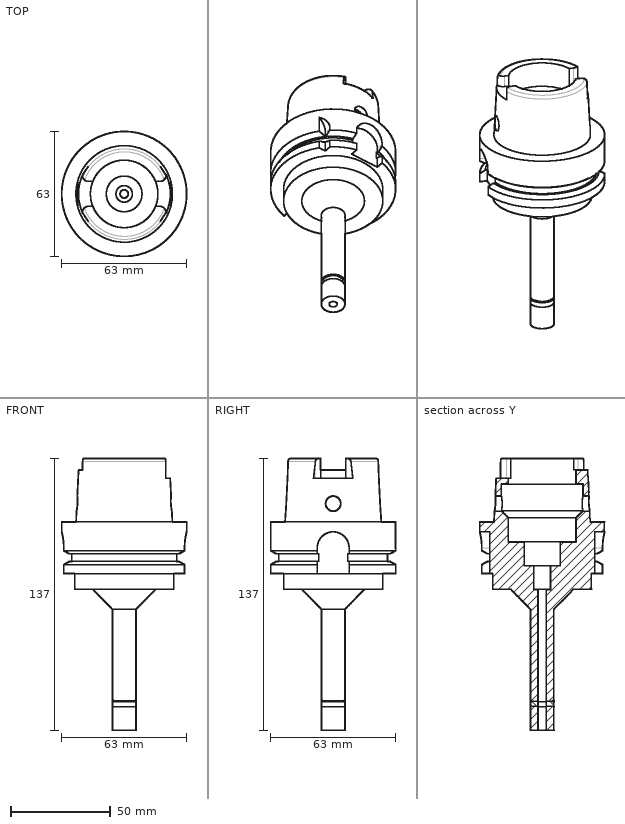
import cadquery as cq
import math


shank_length = 32.0
taper_gauge_radius = 24.005
taper_gauge_height = 6.3
taper_slope = 1 / 20
shank_edge_fillet = 1.5
cross_hole_diameter = 7.5
cross_hole_height = 9.2

mouth_radius = 17.0
undercut_radius = 20.5
undercut_top = 19.0
undercut_bottom = 5.6
undercut_runout = undercut_radius - mouth_radius
bore_floor = -10.0
tube_seat_radius = 9.0
tube_seat_floor = -22.0
feed_radius = 4.15
feed_floor = -34.0
coolant_radius = 2.0

mouth_slot_half_width = 6.27
mouth_slot_flare = 3.0
mouth_slot_flat = 21.0
mouth_slot_flat_reach = 12.0
mouth_slot_depths = {-1: 5.8, 1: 10.0}

flange_radius = 31.5
flange_bottom = -26.0
groove_radius = 27.5
groove_height = -18.0
groove_floor_width = 3.75
groove_mouth_width = 7.0
groove_flank_angle = 60.0

keyway_arch_height = -13.0
drive_keyway_radius = 8.0
drive_keyway_floor = 26.5
side_keyway_radius = 10.0
side_keyway_floor = 20.4
side_keyway_edge = 20.1
side_keyway_offset = side_keyway_edge + side_keyway_radius

collar_radius = 25.0
collar_bottom = -34.0
cone_top_radius = 15.8
stem_radius = 6.0
stem_top = -44.0
stem_bottom = -90.0
neck_radius = 5.4
neck_length = 0.5

ring_top = stem_bottom - neck_length
ring_length = 2.5
tip_top = ring_top - ring_length
tip_length = 12.0


def shank_radius(height):
    return taper_gauge_radius - (height - taper_gauge_height) * taper_slope


def revolve(profile):
    """Turn a closed (radius, height) profile about the Z axis."""
    return cq.Workplane("XZ").polyline(profile).close().revolve(360, (0, 0, 0), (0, 1, 0))


def holder_blank():
    flank_height = (groove_mouth_width - groove_floor_width) / 2
    ledge_radius = flange_radius - flank_height * math.tan(math.radians(groove_flank_angle))
    half_floor = groove_floor_width / 2
    half_mouth = groove_mouth_width / 2
    blank = revolve([
        (0, shank_length),
        (shank_radius(shank_length), shank_length),
        (shank_radius(0), 0),
        (flange_radius, 0),
        (flange_radius, groove_height + half_mouth),
        (ledge_radius, groove_height + half_floor),
        (groove_radius, groove_height + half_floor),
        (groove_radius, groove_height - half_floor),
        (ledge_radius, groove_height - half_floor),
        (flange_radius, groove_height - half_mouth),
        (flange_radius, flange_bottom),
        (collar_radius, flange_bottom),
        (collar_radius, collar_bottom),
        (cone_top_radius, collar_bottom),
        (stem_radius, stem_top),
        (stem_radius, stem_bottom),
        (neck_radius, stem_bottom),
        (neck_radius, ring_top),
        (0, ring_top),
    ])
    return blank.faces(">Z").edges().fillet(shank_edge_fillet)


def bore():
    return revolve([
        (0, shank_length),
        (mouth_radius, shank_length),
        (mouth_radius, undercut_top),
        (undercut_radius, undercut_top),
        (undercut_radius, undercut_bottom),
        (mouth_radius, undercut_bottom - undercut_runout),
        (mouth_radius, bore_floor),
        (tube_seat_radius, bore_floor),
        (tube_seat_radius, tube_seat_floor),
        (feed_radius, tube_seat_floor),
        (feed_radius, feed_floor),
        (coolant_radius, feed_floor),
        (coolant_radius, ring_top),
        (0, ring_top),
    ])


def mouth_slot(side, depth):
    """Slot open at the shank mouth, its outer corners flared by convex arcs."""
    flare_start = mouth_slot_flat - mouth_slot_flare
    flare_end = mouth_slot_half_width + mouth_slot_flare
    arc_rise = mouth_slot_flare * math.sin(math.radians(45))
    arc_x = flare_start + arc_rise
    arc_y = flare_end - arc_rise
    return (
        cq.Workplane("XY", origin=(0, 0, shank_length - depth))
        .moveTo(0, -mouth_slot_half_width)
        .lineTo(side * flare_start, -mouth_slot_half_width)
        .threePointArc((side * arc_x, -arc_y), (side * mouth_slot_flat, -flare_end))
        .lineTo(side * mouth_slot_flat, -mouth_slot_flat_reach)
        .lineTo(side * flange_radius, -mouth_slot_flat_reach)
        .lineTo(side * flange_radius, mouth_slot_flat_reach)
        .lineTo(side * mouth_slot_flat, mouth_slot_flat_reach)
        .lineTo(side * mouth_slot_flat, flare_end)
        .threePointArc((side * arc_x, arc_y), (side * flare_start, mouth_slot_half_width))
        .lineTo(0, mouth_slot_half_width)
        .close()
        .extrude(depth)
    )


def keyway(side, floor, offset, radius):
    """Round-topped keyway cut along X from the rim to a flat floor, open at the flange bottom."""
    return (
        cq.Workplane("YZ", origin=(side * floor, 0, 0))
        .moveTo(offset - radius, flange_bottom)
        .lineTo(offset - radius, keyway_arch_height)
        .threePointArc(
            (offset, keyway_arch_height + radius),
            (offset + radius, keyway_arch_height),
        )
        .lineTo(offset + radius, flange_bottom)
        .close()
        .extrude(side * flange_radius)
    )


def cross_hole():
    return (
        cq.Workplane("YZ", origin=(0, 0, cross_hole_height))
        .circle(cross_hole_diameter / 2)
        .extrude(flange_radius, both=True)
    )


def make_holder():
    holder = holder_blank().cut(bore()).cut(cross_hole())
    for side, depth in mouth_slot_depths.items():
        holder = holder.cut(mouth_slot(side, depth))
        holder = holder.cut(keyway(side, drive_keyway_floor, 0, drive_keyway_radius))
    side_keyway = keyway(-1, side_keyway_floor, side_keyway_offset, side_keyway_radius)
    return holder.cut(side_keyway)


def make_sleeve(top, length):
    """Stem-sized cylinder hanging from a given height, with the coolant hole through it."""
    return (
        cq.Workplane("XY", origin=(0, 0, top))
        .circle(stem_radius)
        .circle(coolant_radius)
        .extrude(-length)
    )


holder = make_holder()
ring = make_sleeve(ring_top, ring_length)
tip = make_sleeve(tip_top, tip_length)

result = cq.Compound.makeCompound([holder.val(), ring.val(), tip.val()])